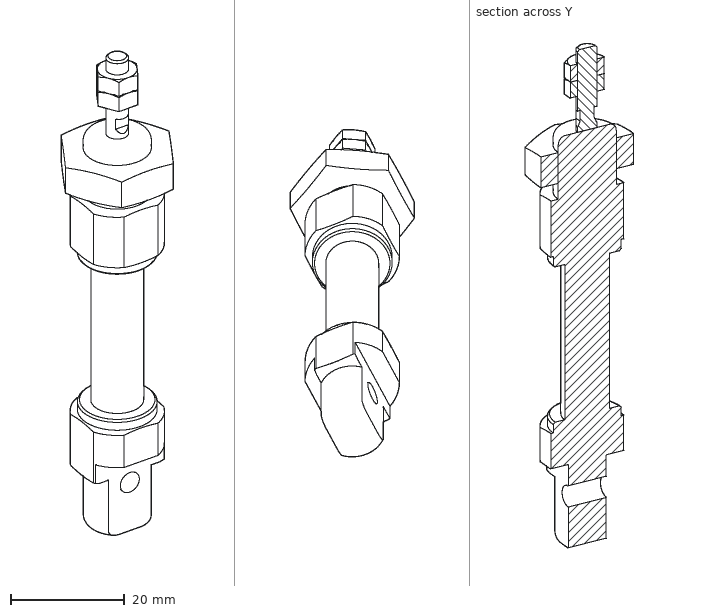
import cadquery as cq
import math


OVERALL_HEIGHT = 96.0
CLEVIS_SHOULDER_Z = 12.0
CLEVIS_STEP_Z = 16.1
REAR_BLOCK_TOP_Z = 23.0
TUBE_BOTTOM_Z = 25.1
TUBE_TOP_Z = 55.0
FRONT_BLOCK_BOTTOM_Z = 57.1
FRONT_BLOCK_TOP_Z = 68.1
MOUNTING_NUT_Z = 71.0
BOSS_TOP_Z = 80.1
LOCKNUT_Z = 87.0

TUBE_DIAMETER = 9.3
COLLAR_DIAMETER = 14.0
COLLAR_CHAMFER = 0.4
BLOCK_WIDTH = 15.0
BLOCK_CORNER_DIAMETER = 16.6
BLOCK_CHAMFER_ANGLE = 18.0
BOSS_DIAMETER = 12.0
END_FILLET = 1.5

TONGUE_THICKNESS = 7.9
CLEVIS_HOLE_DIAMETER = 4.0
CLEVIS_HOLE_Z = 10.0

ROD_DIAMETER = 4.0
ROD_TIP_DIAMETER = 3.3
WRENCH_FLATS_WIDTH = 3.0
WRENCH_FLATS_TOP_Z = 84.1
WRENCH_FLATS_BOTTOM_Z = 82.1
WRENCH_RUNOUT = 1.1

LOCKNUT_WIDTH = 7.0
LOCKNUT_THICKNESS = 3.2
LOCKNUT_COUNT = 2
LOCKNUT_CHAMFER_ANGLE = 30.0
MOUNTING_NUT_WIDTH = 19.0
MOUNTING_NUT_THICKNESS = 6.0
MOUNTING_NUT_CHAMFER_ANGLE = 15.0



def disc(diameter, bottom, top):
    """Cylinder on the Z axis between two levels."""
    return cq.Workplane("XY", origin=(0, 0, bottom)).circle(diameter / 2).extrude(top - bottom)


def prism(sides, width, bottom, top):
    """Regular prism with the given width across flats and two flats facing along X."""
    corner_diameter = width / math.cos(math.pi / sides)
    return (
        cq.Workplane("XY", origin=(0, 0, bottom))
        .transformed(rotate=(0, 0, 180 / sides))
        .polygon(sides, corner_diameter)
        .extrude(top - bottom)
    )


def coned_disc(diameter, rim_diameter, angle, bottom, top):
    """Cylinder whose top edge is cut by a cone rising at an angle to a smaller rim circle."""
    radius = diameter / 2
    rim = rim_diameter / 2
    drop = (radius - rim) * math.tan(math.radians(angle))
    return (
        cq.Workplane("XZ")
        .moveTo(0, bottom)
        .lineTo(radius, bottom)
        .lineTo(radius, top - drop)
        .lineTo(rim, top)
        .lineTo(0, top)
        .close()
        .revolve(360, (0, 0, 0), (0, 1, 0))
    )


def flipped(solid, bottom, top):
    """Mirror image of a solid about the level midway between its bottom and top."""
    return solid.mirror("XY", (0, 0, (bottom + top) / 2))



def cap_block(bottom, top):
    """Square end-cap block with rounded corners that are coned off at both ends."""
    corners = coned_disc(BLOCK_CORNER_DIAMETER, BLOCK_WIDTH, BLOCK_CHAMFER_ANGLE, bottom, top)
    block = prism(4, BLOCK_WIDTH, bottom, top).intersect(corners)
    return block.intersect(flipped(block, bottom, top))


def tongue_sides():
    """Two blocks that flatten the rear cap to the tongue thickness below the clevis step."""
    side_depth = BLOCK_WIDTH / 2
    offset = TONGUE_THICKNESS / 2 + side_depth / 2
    return (
        cq.Workplane("XY")
        .pushPoints([(-offset, 0), (offset, 0)])
        .rect(side_depth, BLOCK_CORNER_DIAMETER)
        .extrude(CLEVIS_STEP_Z)
    )


def make_cylinder_body():
    """Tube with its front cap, threaded boss and rear clevis."""
    tube = disc(TUBE_DIAMETER, REAR_BLOCK_TOP_Z, FRONT_BLOCK_BOTTOM_Z)

    rear_collar = disc(COLLAR_DIAMETER, REAR_BLOCK_TOP_Z, TUBE_BOTTOM_Z)
    rear_collar = rear_collar.faces(">Z").chamfer(COLLAR_CHAMFER)
    front_collar = disc(COLLAR_DIAMETER, TUBE_TOP_Z, FRONT_BLOCK_BOTTOM_Z)
    front_collar = front_collar.faces("<Z").chamfer(COLLAR_CHAMFER)

    front_block = cap_block(FRONT_BLOCK_BOTTOM_Z, FRONT_BLOCK_TOP_Z)
    boss = disc(BOSS_DIAMETER, FRONT_BLOCK_TOP_Z, BOSS_TOP_Z).faces(">Z").fillet(END_FILLET)

    rear_block = cap_block(CLEVIS_SHOULDER_Z, REAR_BLOCK_TOP_Z)
    tongue = disc(BOSS_DIAMETER, 0, CLEVIS_SHOULDER_Z).faces("<Z").fillet(END_FILLET)
    clevis_hole = (
        cq.Workplane("YZ", origin=(0, 0, CLEVIS_HOLE_Z))
        .circle(CLEVIS_HOLE_DIAMETER / 2)
        .extrude(TONGUE_THICKNESS, both=True)
    )
    rear_cap = rear_block.union(tongue).cut(tongue_sides()).cut(clevis_hole)

    return (
        tube.union(rear_collar)
        .union(front_collar)
        .union(front_block)
        .union(boss)
        .union(rear_cap)
    )



def wrench_notch(side):
    """Flat on one side of the rod (-1 or 1) that runs out in a slope at its lower end."""
    flat = side * WRENCH_FLATS_WIDTH / 2
    surface = side * ROD_DIAMETER / 2
    return (
        cq.Workplane("XZ")
        .moveTo(flat, WRENCH_FLATS_TOP_Z)
        .lineTo(surface, WRENCH_FLATS_TOP_Z)
        .lineTo(surface, WRENCH_FLATS_BOTTOM_Z - WRENCH_RUNOUT)
        .lineTo(flat, WRENCH_FLATS_BOTTOM_Z)
        .close()
        .extrude(ROD_DIAMETER, both=True)
    )


def make_piston_rod():
    """Rod standing on the boss, with a chamfered tip and two wrench flats."""
    tip_chamfer = (ROD_DIAMETER - ROD_TIP_DIAMETER) / 2
    rod = disc(ROD_DIAMETER, BOSS_TOP_Z, OVERALL_HEIGHT).faces(">Z").chamfer(tip_chamfer)
    for side in (-1, 1):
        rod = rod.cut(wrench_notch(side))
    return rod



def make_nut(width, thickness, bore, chamfer_angle, bottom):
    """Hexagon nut with a plain bore and corners coned off at the top."""
    top = bottom + thickness
    corner_diameter = width / math.cos(math.pi / 6)
    cone = coned_disc(corner_diameter, width, chamfer_angle, bottom, top)
    return prism(6, width, bottom, top).intersect(cone).cut(disc(bore, bottom, top))


def make_mounting_nut():
    """Large nut on the boss, coned off alike on both ends."""
    nut = make_nut(
        MOUNTING_NUT_WIDTH,
        MOUNTING_NUT_THICKNESS,
        BOSS_DIAMETER,
        MOUNTING_NUT_CHAMFER_ANGLE,
        MOUNTING_NUT_Z,
    )
    return nut.intersect(flipped(nut, MOUNTING_NUT_Z, MOUNTING_NUT_Z + MOUNTING_NUT_THICKNESS))


def make_locknut(index):
    """Small nut on the rod; higher indices stack upward."""
    bottom = LOCKNUT_Z + index * LOCKNUT_THICKNESS
    return make_nut(LOCKNUT_WIDTH, LOCKNUT_THICKNESS, ROD_DIAMETER, LOCKNUT_CHAMFER_ANGLE, bottom)



cylinder_body = make_cylinder_body()
piston_rod = make_piston_rod()
mounting_nut = make_mounting_nut()

locknuts = []
for index in range(LOCKNUT_COUNT):
    locknuts.append(make_locknut(index))

result = cq.Compound.makeCompound(
    [
        cylinder_body.val(),
        piston_rod.val(),
        mounting_nut.val(),
        *[locknut.val() for locknut in locknuts],
    ]
)